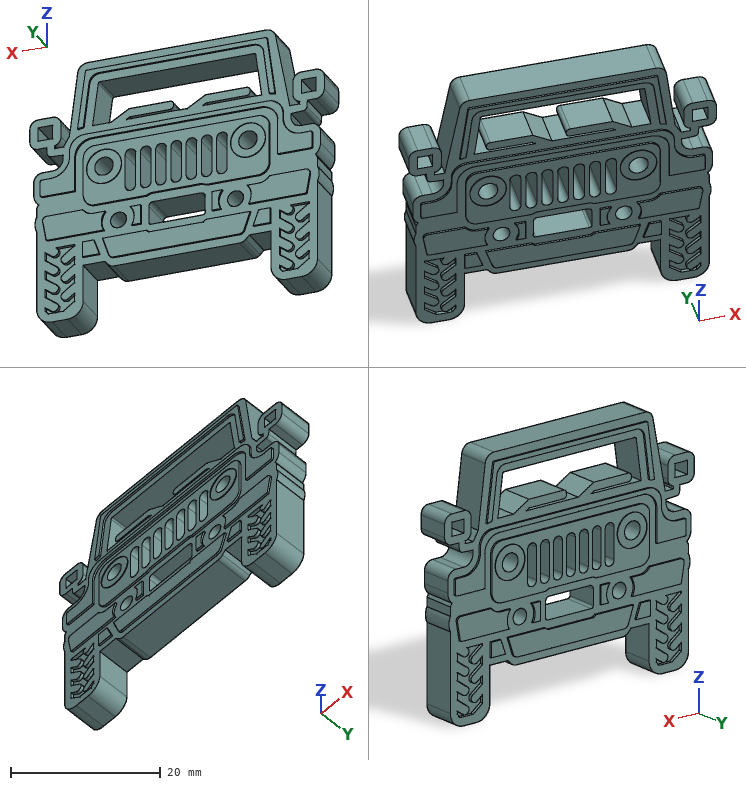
import cadquery as cq
import math


body_thickness = 5.08
ring_thickness = 5.84
panel_thickness = 5.66
tread_depth = 0.5

top_z = 18.88
bottom_z = -top_z
fender_top_z = 3.66
fender_side_x = 20.79
tire_outer_x = 20.35
tire_inner_x = 13.60
tire_radius = 2.25
sill_z = -11.26
skid_bottom_z = -12.20
panel_top_z = -7.91

mirror_x = 19.07
mirror_z = 9.475
mirror_width = 4.54
mirror_height = 4.39
mirror_radius = 1.25
mirror_hole_width = 2.10
mirror_hole_height = 2.00
mirror_arm_z = 6.93
arm_overlap_z = 7.60

cowl_z = 9.32
window_top_z = 15.68
wiper_length = 6.45
wiper_lower_length = 6.35
wiper_foot_start = 6.85
wiper_foot_end = 9.10
wiper_top_z = 10.87
wiper_bottom_z = 9.63
wiper_radius = 0.55
wiper_count = 2
wiper_tip_x = -10.59
wiper_spacing = 11.08

hood_outer_x = 15.45
hood_inner_x = 14.71
hood_top_z = 8.08
fender_panel_x = 19.71
fender_panel_top_z = 2.42
fender_panel_bottom_z = -0.07
grille_x = 13.47
grille_top_z = 6.15
grille_bottom_z = -2.69
grille_radius = 1.65
wing_inner_x = 5.18
wing_top_z = -3.11
wing_step_z = -3.93
wing_bottom_z = -6.70
small_panel_bottom_z = -10.12
plate_x = 4.07

headlight_x = 10.43
headlight_z = 2.76
headlight_ring_diameter = 5.05
headlight_hole_diameter = 2.66
fog_x = 8.48
fog_z = -5.46
fog_clearance_diameter = 4.74
fog_hole_diameter = 2.30

slot_count = 7
slot_pitch = 2.21
slot_width = 1.52
slot_top_z = 4.66
slot_bottom_z = -1.52

tread_left_x = -19.13
tread_width = 4.31
tread_bottom_z = -17.58
tread_chamfer_x = -17.50
tread_spacing = 33.97
finger_radius = 0.64
finger_angle = 36.0
finger_length = 4.0
finger_pitch = 2.74
left_finger_count = 3
right_finger_count = 4
left_finger_reach = 1.32
right_finger_reach = 1.34
left_finger_z = -9.86
right_finger_z = -8.50


def mirrored(corners):
    """Corners reflected to the other side of X = 0, in reverse order."""
    return [(-x, *rest) for x, *rest in reversed(corners)]


def symmetric(left_corners):
    """Closed corner list made from its left half."""
    return left_corners + mirrored(left_corners)


def prism(corners, thickness):
    """Prism centred on Y = 0. A corner is (x, z) or (x, z, radius)."""
    sketch = cq.Workplane("XZ")
    count = len(corners)
    for i, (x, z, *radius) in enumerate(corners):
        corner = cq.Vector(x, z)
        if not radius:
            sketch = sketch.lineTo(x, z) if i else sketch.moveTo(x, z)
            continue
        before = (cq.Vector(*corners[i - 1][:2]) - corner).normalized()
        after = (cq.Vector(*corners[(i + 1) % count][:2]) - corner).normalized()
        half_angle = before.getAngle(after) / 2
        tangent_length = radius[0] / math.tan(half_angle)
        apex_distance = radius[0] / math.sin(half_angle) - radius[0]
        start = corner + before * tangent_length
        middle = corner + (before + after).normalized() * apex_distance
        end = corner + after * tangent_length
        sketch = sketch.lineTo(start.x, start.y) if i else sketch.moveTo(start.x, start.y)
        sketch = sketch.threePointArc((middle.x, middle.y), (end.x, end.y))
    return sketch.close().extrude(thickness / 2, both=True)


def box(x, z, width, height, thickness):
    return cq.Workplane("XY").box(width, thickness, height).translate((x, 0, z))


def disc(x, z, diameter, thickness):
    return cq.Workplane("XZ").center(x, z).circle(diameter / 2).extrude(thickness / 2, both=True)


def body():
    def half_outline(pillar):
        """Left half from the roof to the skid bottom, starting with the given pillar."""
        return pillar + [
            (-17.75, mirror_arm_z),
            (-17.75, arm_overlap_z),
            (-18.92, arm_overlap_z),
            (-18.78, 5.85, 0.55),
            (-16.50, 5.72),
            (-16.48, fender_top_z, 1.58),
            (-fender_side_x, fender_top_z, 1.36),
            (-fender_side_x, -0.35, 2.10),
            (-20.08, -1.02),
            (-tire_outer_x, -1.50),
            (-tire_outer_x, -2.83),
            (-20.85, -3.93, 2.60),
            (-tire_outer_x, -5.04),
            (-tire_outer_x, bottom_z, tire_radius),
            (-tire_inner_x, bottom_z, tire_radius),
            (-tire_inner_x, sill_z),
            (-10.50, sill_z),
            (-9.60, skid_bottom_z, 1.20),
        ]

    left_pillar = [(-14.06, top_z, 1.39), (-16.34, mirror_arm_z)]
    right_pillar = [(-14.24, top_z, 1.50), (-15.60, 8.35), (-16.45, mirror_arm_z)]
    outline = half_outline(left_pillar) + mirrored(half_outline(right_pillar))
    solid = prism(outline, body_thickness)
    for side in (-1, 1):
        housing = box(side * mirror_x, mirror_z, mirror_width, mirror_height, body_thickness)
        solid = solid.union(housing.edges("|Y").fillet(mirror_radius))
    return solid


def windshield_frame():
    """Raised band around the top and sides of the window."""
    return prism(
        symmetric([
            (-12.47, 16.92, 1.50),
            (-13.46, 9.25),
            (-14.30, 9.08),
            (-13.13, 17.61, 0.20),
        ]),
        panel_thickness,
    )


def hood_and_fenders():
    """Raised band over the grille, widening into a fender at each end."""
    return prism(
        symmetric([
            (-hood_inner_x, 7.39, 2.50),
            (-hood_inner_x, fender_panel_bottom_z),
            (-fender_panel_x, fender_panel_bottom_z, 0.25),
            (-fender_panel_x, fender_panel_top_z, 0.25),
            (-hood_outer_x, fender_panel_top_z, 2.75),
            (-hood_outer_x, hood_top_z, 2.15),
        ]),
        panel_thickness,
    )


def grille_panel():
    """Raised panel that carries the headlights and the slots."""
    return prism(
        symmetric([
            (-grille_x, grille_top_z, grille_radius),
            (-grille_x, grille_bottom_z, grille_radius),
            (-4.35, grille_bottom_z, 0.60),
            (-3.70, -2.42, 0.60),
        ]),
        panel_thickness,
    )


def bumper_wings():
    """Upper bumper panels, split on each side by the clearance around the fog lamp."""
    wing = [
        (-19.48, wing_top_z, 0.60),
        (-18.86, wing_bottom_z, 0.20),
        (-wing_inner_x, wing_bottom_z),
        (-wing_inner_x, wing_step_z),
        (-12.70, wing_step_z, 1.80),
        (-13.55, wing_top_z),
    ]
    panels = prism(wing, panel_thickness).union(prism(mirrored(wing), panel_thickness))
    for side in (-1, 1):
        panels = panels.cut(disc(side * fog_x, fog_z, fog_clearance_diameter, panel_thickness))
    return panels


def skid_panels():
    """Lower bumper: one wide centre panel and a small one beside each tire."""
    centre = symmetric([
        (-3.90, -8.22),
        (-4.30, panel_top_z),
        (-10.70, panel_top_z),
        (-9.65, -10.98, 0.80),
    ])
    small = [
        (-tire_inner_x, panel_top_z),
        (-11.95, panel_top_z),
        (-11.15, small_panel_bottom_z),
        (-tire_inner_x, small_panel_bottom_z),
    ]
    panels = prism(centre, panel_thickness)
    return panels.union(prism(small, panel_thickness)).union(prism(mirrored(small), panel_thickness))


def headlight_rings():
    """Rings standing slightly above the grille panel."""
    left = disc(-headlight_x, headlight_z, headlight_ring_diameter, ring_thickness)
    return left.union(left.mirror("YZ"))


def window():
    """Window opening, leaving two wipers standing on the cowl."""
    opening = prism(
        symmetric([(-12.24, cowl_z), (-11.38, window_top_z, 0.25)]),
        body_thickness,
    )
    for i in range(wiper_count):
        tip_x = wiper_tip_x + i * wiper_spacing
        wiper = [
            (tip_x, wiper_top_z, wiper_radius),
            (tip_x + wiper_length, wiper_top_z),
            (tip_x + wiper_foot_end, cowl_z),
            (tip_x + wiper_foot_start, cowl_z),
            (tip_x + wiper_lower_length, wiper_bottom_z),
            (tip_x, wiper_bottom_z, wiper_radius),
        ]
        opening = opening.cut(prism(wiper, body_thickness))
    return opening


def grille_slots():
    slot_centre_z = (slot_top_z + slot_bottom_z) / 2
    slot_places = [((i - (slot_count - 1) / 2) * slot_pitch, 0) for i in range(slot_count)]
    return (
        cq.Workplane("XZ", origin=(0, 0, slot_centre_z))
        .pushPoints(slot_places)
        .slot2D(slot_top_z - slot_bottom_z, slot_width, 90)
        .extrude(panel_thickness / 2, both=True)
    )


def plate_opening():
    return prism(symmetric([(-plate_x, -3.66, 0.60), (-plate_x, -6.98, 0.35)]), body_thickness)


def lamp_and_mirror_holes():
    holes = disc(-headlight_x, headlight_z, headlight_hole_diameter, ring_thickness)
    holes = holes.union(disc(-fog_x, fog_z, fog_hole_diameter, body_thickness))
    mirror_hole = box(-mirror_x, mirror_z, mirror_hole_width, mirror_hole_height, body_thickness)
    holes = holes.union(mirror_hole)
    return holes.union(holes.mirror("YZ"))


def tread_finger(end_x, end_z, direction):
    """Round-ended finger running up and outward from its inner end."""
    angle = math.radians(finger_angle)
    centre_x = end_x + direction * finger_length / 2 * math.cos(angle)
    centre_z = end_z + finger_length / 2 * math.sin(angle)
    return (
        cq.Workplane("XZ")
        .center(centre_x, centre_z)
        .slot2D(finger_length + 2 * finger_radius, 2 * finger_radius, direction * finger_angle)
        .extrude(body_thickness / 2, both=True)
    )


def treads():
    """Recessed treads in both tires, on both faces."""
    right_x = tread_left_x + tread_width
    tread = prism(
        [
            (tread_left_x, panel_top_z),
            (right_x, panel_top_z),
            (right_x, -17.00),
            (right_x - 0.50, tread_bottom_z),
            (tread_chamfer_x, tread_bottom_z),
            (tread_left_x, -16.37),
        ],
        body_thickness,
    )
    for i in range(left_finger_count):
        end_z = left_finger_z - i * finger_pitch
        tread = tread.cut(tread_finger(tread_left_x + left_finger_reach, end_z, -1))
    for i in range(right_finger_count):
        end_z = right_finger_z - i * finger_pitch
        tread = tread.cut(tread_finger(right_x - right_finger_reach, end_z, 1))
    core = box(0, 0, 2 * fender_side_x, 2 * top_z, body_thickness - 2 * tread_depth)
    left = tread.cut(core)
    return left.union(left.translate((tread_spacing, 0, 0)))


result = body()
for panel in (
    windshield_frame(),
    hood_and_fenders(),
    grille_panel(),
    bumper_wings(),
    skid_panels(),
    headlight_rings(),
):
    result = result.union(panel)
for opening in (window(), grille_slots(), plate_opening(), lamp_and_mirror_holes(), treads()):
    result = result.cut(opening)